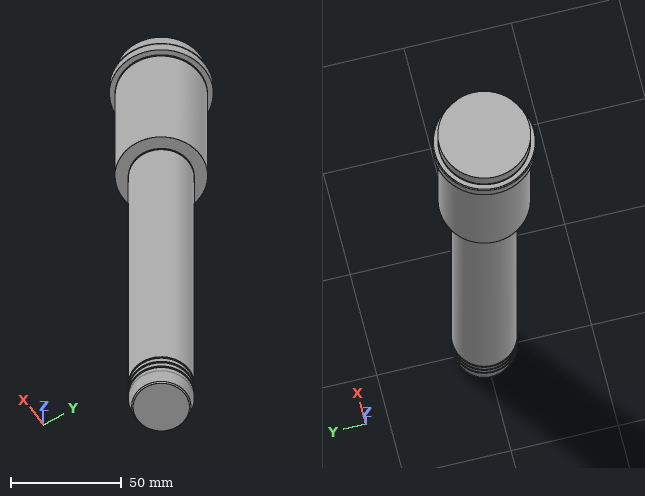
import cadquery as cq

total_height = 280.0
body_length = 84.5
collar_drop = 9.0
collar_thickness = 6.0

collar_diameter = 47.0
body_diameter = 42.0
shank_diameter = 30.0

tip_diameter = 26.5
lead_in_length = 7.0
lead_in_hollow = 0.1
tip_chamfer = 0.5

groove_width = 1.0
groove_depth = 0.15
groove_count = 3
groove_pitch = 4.0
lowest_groove_bottom = 10.0

collar_chamfer = 0.5

body_bottom = total_height - body_length
collar_top = total_height - collar_drop
collar_bottom = collar_top - collar_thickness
shank_radius = shank_diameter / 2
tip_radius = tip_diameter / 2


def cylinder(diameter, bottom, height):
    """Solid cylinder on the Z axis."""
    return cq.Workplane("XY").workplane(offset=bottom).circle(diameter / 2).extrude(height)


def shank():
    """Long pin whose lower end narrows along a slightly hollow arc."""
    arc_middle = ((shank_radius + tip_radius) / 2 - lead_in_hollow, lead_in_length / 2)
    pin = (
        cq.Workplane("XZ")
        .lineTo(tip_radius, 0)
        .threePointArc(arc_middle, (shank_radius, lead_in_length))
        .lineTo(shank_radius, body_bottom)
        .lineTo(0, body_bottom)
        .close()
        .revolve(360, (0, 0, 0), (0, 1, 0))
    )
    return pin.faces("<Z").chamfer(tip_chamfer)


def collar():
    """Flange ring with a small chamfer on its upper rim."""
    return cylinder(collar_diameter, collar_bottom, collar_thickness).faces(">Z").chamfer(collar_chamfer)


def groove(diameter, bottom):
    """Ring of material to remove for a groove in a cylinder of the given diameter."""
    outer = cylinder(diameter, bottom, groove_width)
    core = cylinder(diameter - 2 * groove_depth, bottom, groove_width)
    return outer.cut(core)


result = shank()
result = result.union(cylinder(body_diameter, body_bottom, body_length))
result = result.union(collar())

for index in range(groove_count):
    result = result.cut(groove(shank_diameter, lowest_groove_bottom + index * groove_pitch))

result = result.cut(groove(body_diameter, collar_top))
result = result.cut(groove(body_diameter, collar_bottom - groove_width))
result = result.cut(groove(shank_diameter, body_bottom - groove_width))